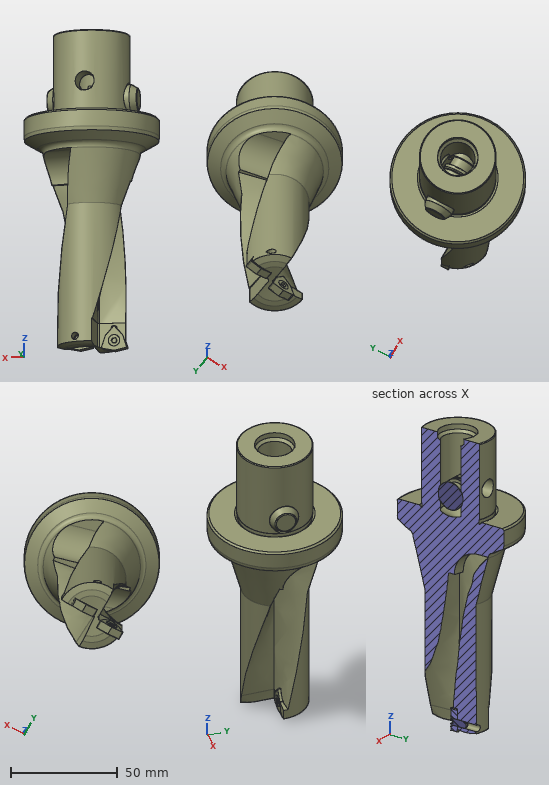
import cadquery as cq
import math


shank_length = 39.7
shank_radius = 18.0
shank_chamfer = 0.5
flange_radius = 31.8
flange_chamfer = 0.9
flange_rim_bottom = -8.7
flange_cone_top = (31.5, -10.5)
flange_cone_bottom = (25.3, -14.1)
neck_blend_middle = (23.4, -15.3)
groove_radius = 18.9
groove_depth = 1.2
undercut_radius = 17.7
undercut_height = 1.2

drill_diameter = 32.2
drill_radius = drill_diameter / 2
neck_radius = 22.8
neck_top = -17.1
neck_bottom = -42.2
tip_z = shank_length - 149.8
tip_profile = [(drill_radius, -108.0), (12.7, -108.9), (9.7, -109.0), (0, -108.2)]

bore_radius = 8.1
counterbore_radius = 9.5
counterbore_depth = 2.7
bore_floor = 0.0
bore_point = 4.5
key_hole_radius = 4.5
key_hole_z = 15.5

pin_z = 8.8
pin_radius = 7.0
pin_nose_radius = 5.2
pin_nose_chamfer = 0.6
cross_hole_chamfer = 0.7
pin_split_x = -1.2
pin_end_chamfer = 0.6
left_pin_end = -22.5
left_pin_shoulder = -19.2
right_pin_end = 20.5
right_pin_shoulder = 17.2
right_pin_neck = (0.9, 5.5)
right_pin_neck_radius = 5.4

flute_reach = 67.4
flute_top = -17.0
flute_levels = 9
front_flute_corner = (-1.3, 0)
front_flute_bottom = -103.0
seat_face_angle = 0
back_flute_bottom = -97.2
back_flute_corner_radius = 3.0
back_flute_corner_break = 0.7
back_corner_lead = 79
front_wall_start = 261
front_wall_twist = 1.135
front_face_start = 2.3
front_face_twist = 0.8011
back_wall_start = 88.5
back_wall_twist = 1.068
back_face_start = 169
back_face_twist = 0.8011
cone_extra_twist = 0.4005
runout_radius = 13.5
runout_wall_y = -3.6
runout_tilt = -14.0

insert_corner_radius = 7.0
insert_thickness = 3.9
insert_nose_radius = 0.5
seat_relief_radius = 1.3
insert_inner_radius = 4.8
insert_z = tip_z + insert_inner_radius
outer_insert_x = -10.6
inner_insert_x = 5.1
screw_head_radius = 2.7
screw_shank_radius = 1.6
screw_cone_depth = 1.8
screw_length = 9.0
screw_hole_length = drill_radius + 1.5
screw_tip_chamfer = 0.6
socket_width = 2.7
socket_depth = 1.2


def polar(radius, degrees):
    """Point at a radius and an angle from +X."""
    angle = math.radians(degrees)
    return (radius * math.cos(angle), radius * math.sin(angle))


def turn_about_pin_axis(points):
    """Turns an outline of (x, radius) points about the axis of the cross pins."""
    turned = cq.Workplane("XY").polyline(points).close().revolve(360, (0, 0), (1, 0))
    return turned.translate((0, 0, pin_z))


def make_blank():
    """Turned outline of the shank, flange and drill body."""
    profile = (
        cq.Workplane("XZ")
        .moveTo(0, shank_length)
        .lineTo(shank_radius - shank_chamfer, shank_length)
        .lineTo(shank_radius, shank_length - shank_chamfer)
        .lineTo(shank_radius, undercut_height)
        .lineTo(undercut_radius, undercut_height - (shank_radius - undercut_radius))
        .lineTo(undercut_radius, -groove_depth)
        .lineTo(groove_radius, 0)
        .lineTo(flange_radius - flange_chamfer, 0)
        .lineTo(flange_radius, -flange_chamfer)
        .lineTo(flange_radius, flange_rim_bottom)
        .lineTo(*flange_cone_top)
        .lineTo(*flange_cone_bottom)
        .threePointArc(neck_blend_middle, (neck_radius, neck_top))
        .lineTo(drill_radius, neck_bottom)
    )
    for point in tip_profile:
        profile = profile.lineTo(*point)
    return profile.close().revolve(360, (0, 0), (0, 1))


def make_bore():
    """Stepped blind bore with a conical floor."""
    step_top = shank_length - counterbore_depth
    step_bottom = step_top - (counterbore_radius - bore_radius)
    points = [
        (0, shank_length),
        (counterbore_radius, shank_length),
        (counterbore_radius, step_top),
        (bore_radius, step_bottom),
        (bore_radius, bore_floor),
        (0, bore_floor - bore_point),
    ]
    return cq.Workplane("XZ").polyline(points).close().revolve(360, (0, 0), (0, 1))


def make_cross_hole():
    """Hole along X through the shank, chamfered at both mouths."""
    chamfer_start = shank_radius - cross_hole_chamfer
    points = [
        (-shank_radius, 0),
        (-shank_radius, pin_radius + cross_hole_chamfer),
        (-chamfer_start, pin_radius),
        (chamfer_start, pin_radius),
        (shank_radius, pin_radius + cross_hole_chamfer),
        (shank_radius, 0),
    ]
    return turn_about_pin_axis(points)


def make_key_hole():
    """Radial hole from the +Y side into the bore."""
    return (
        cq.Workplane("XZ", origin=(0, 0, key_hole_z))
        .circle(key_hole_radius)
        .extrude(-2 * shank_radius)
    )


def front_wall_angle(z):
    return front_wall_start + front_wall_twist * (z - tip_z)


def front_face_angle(z):
    return front_face_start + front_face_twist * (z - tip_z)


def back_wall_angle(z):
    return back_wall_start + back_wall_twist * (z - tip_z)


def back_face_angle(z):
    """Twists faster where the drill body widens into its cone."""
    cone_twist = cone_extra_twist * max(0, z - neck_bottom)
    return back_face_start + back_face_twist * (z - tip_z) + cone_twist


def back_corner(z):
    return polar(back_flute_corner_radius, back_wall_angle(z) + back_corner_lead)


def front_corner(z):
    return front_flute_corner


def step_along(start, end, distance):
    """Point at a distance from start on the line through end."""
    share = distance / math.dist(start, end)
    return tuple(a + share * (b - a) for a, b in zip(start, end))


def flute_section(z, corner, corner_break, wall_angle, face_angle):
    """Wedge from the flute corner, which may be broken by a flat, past the drill surface."""
    wall_edge = polar(drill_radius, wall_angle)
    face_edge = polar(drill_radius, face_angle)
    outline = [step_along(corner, wall_edge, flute_reach), step_along(corner, face_edge, flute_reach)]
    if corner_break:
        outline.append(step_along(corner, face_edge, corner_break))
        outline.append(step_along(corner, wall_edge, corner_break))
    else:
        outline.append(corner)
    return cq.Wire.makePolygon([cq.Vector(x, y, z) for x, y in outline], close=True)


def twisted_flute(bottom, corner, corner_break, wall_angle, face_angle):
    step = (flute_top - bottom) / (flute_levels - 1)
    levels = [bottom + i * step for i in range(flute_levels)]
    sections = [
        flute_section(z, corner(z), corner_break, wall_angle(z), face_angle(z)) for z in levels
    ]
    return cq.Workplane(obj=cq.Solid.makeLoft(sections))


def make_runout_limit(turn):
    """Space a flute may fill: rounded off near its upper end."""
    arc_centre_y = runout_wall_y - runout_radius
    arc_centre_z = flute_top - runout_radius
    diagonal = runout_radius * math.sqrt(0.5)
    limit = (
        cq.Workplane("YZ")
        .moveTo(-2 * flute_reach, flute_top)
        .lineTo(arc_centre_y, flute_top)
        .threePointArc(
            (arc_centre_y + diagonal, arc_centre_z + diagonal),
            (runout_wall_y, arc_centre_z),
        )
        .lineTo(2 * flute_reach, arc_centre_z)
        .lineTo(2 * flute_reach, 2 * tip_z)
        .lineTo(-2 * flute_reach, 2 * tip_z)
        .close()
        .extrude(2 * flute_reach, both=True)
    )
    return limit.rotate((0, 0, 0), (0, 0, 1), runout_tilt + turn)


def make_front_flute():
    """Flute on the -Y side, with a flat seat face at y = 0 below it."""
    flute = twisted_flute(
        front_flute_bottom, front_corner, 0, front_wall_angle, front_face_angle
    )
    seat_sections = [
        flute_section(z, front_flute_corner, 0, front_wall_angle(z), seat_face_angle)
        for z in (tip_z, front_flute_bottom)
    ]
    seat = cq.Workplane(obj=cq.Solid.makeLoft(seat_sections, True))
    return [flute.intersect(make_runout_limit(180)), seat]


def make_back_flute():
    """Flute on the +Y side, with a straight two-walled pocket below it."""
    flute = twisted_flute(
        back_flute_bottom, back_corner, back_flute_corner_break, back_wall_angle, back_face_angle
    )
    seat = cq.Workplane("XY").box(
        flute_reach, flute_reach, back_flute_bottom - tip_z, centered=False
    )
    seat = seat.edges("|Z and >X and <Y").chamfer(back_flute_corner_break)
    seat = seat.translate((-flute_reach - back_flute_corner_radius, 0, tip_z))
    return [flute.intersect(make_runout_limit(0)), seat]


def place_at_seat(shape, x, faces_back):
    """Moves a shape from the origin to a seat and turns it to face +Y where asked."""
    if faces_back:
        shape = shape.rotate((0, 0, 0), (0, 0, 1), 180)
    return shape.translate((x, 0, insert_z))


def make_screw_space():
    """Countersunk head and shank, running from y = 0 toward +Y."""
    points = [
        (0, 0),
        (screw_head_radius, 0),
        (screw_shank_radius, screw_cone_depth),
        (screw_shank_radius, screw_hole_length),
        (0, screw_hole_length),
    ]
    return cq.Workplane("XY").polyline(points).close().revolve(360, (0, 0), (0, 1))


def make_insert_blank():
    """Trigon plate with one corner up and its cutting face at y = 0."""
    points = []
    for angle in (90, 210, 330):
        points.append(polar(insert_corner_radius, angle))
        points.append(polar(insert_inner_radius, angle + 60))
    plate = cq.Workplane("XZ").polyline(points).close().extrude(-insert_thickness)
    for x, z in points[::2]:
        nose = cq.selectors.NearestToPointSelector((x, insert_thickness / 2, z))
        plate = plate.edges(nose).fillet(insert_nose_radius)
    return plate


def make_seat_relief():
    """Round clearance at the upper corner of an insert seat."""
    relief = cq.Workplane("XZ").circle(seat_relief_radius).extrude(-insert_thickness)
    return relief.translate((0, 0, insert_corner_radius - seat_relief_radius))


def make_screw():
    """Countersunk screw with a hexagon socket."""
    points = [
        (0, 0),
        (screw_head_radius, 0),
        (screw_shank_radius, screw_cone_depth),
        (screw_shank_radius, screw_length - screw_tip_chamfer),
        (screw_shank_radius - screw_tip_chamfer, screw_length),
        (0, screw_length),
    ]
    screw = cq.Workplane("XY").polyline(points).close().revolve(360, (0, 0), (0, 1))
    socket = cq.Workplane("XZ").polygon(6, socket_width).extrude(-socket_depth)
    return screw.cut(socket)


def make_left_pin():
    return turn_about_pin_axis([
        (left_pin_end, 0),
        (left_pin_end, pin_nose_radius - pin_nose_chamfer),
        (left_pin_end + pin_nose_chamfer / 2, pin_nose_radius),
        (left_pin_shoulder, pin_radius),
        (pin_split_x - pin_end_chamfer, pin_radius),
        (pin_split_x, pin_radius - pin_end_chamfer),
        (pin_split_x, 0),
    ])


def make_right_pin():
    neck_start, neck_end = right_pin_neck
    return turn_about_pin_axis([
        (pin_split_x, 0),
        (pin_split_x, pin_radius - pin_end_chamfer),
        (pin_split_x + pin_end_chamfer, pin_radius),
        (neck_start, pin_radius),
        (neck_start, right_pin_neck_radius),
        (neck_end, right_pin_neck_radius),
        (neck_end, pin_radius),
        (right_pin_shoulder, pin_radius),
        (right_pin_end - pin_nose_chamfer / 2, pin_nose_radius),
        (right_pin_end, pin_nose_radius - pin_nose_chamfer),
        (right_pin_end, 0),
    ])


seats = [(inner_insert_x, False), (outer_insert_x, True)]

body = make_blank().cut(make_bore()).cut(make_cross_hole()).cut(make_key_hole())
for flute_part in make_front_flute() + make_back_flute():
    body = body.cut(flute_part)
for x, faces_back in seats:
    body = body.cut(place_at_seat(make_insert_blank(), x, faces_back))
    body = body.cut(place_at_seat(make_seat_relief(), x, faces_back))
    body = body.cut(place_at_seat(make_screw_space(), x, faces_back))

inserts = []
screws = []
for x, faces_back in seats:
    insert = make_insert_blank().cut(make_screw_space())
    inserts.append(place_at_seat(insert, x, faces_back))
    screws.append(place_at_seat(make_screw(), x, faces_back))

left_pin = make_left_pin()
right_pin = make_right_pin()

result = cq.Compound.makeCompound([
    *body.vals(),
    left_pin.val(),
    right_pin.val(),
    *[insert.val() for insert in inserts],
    *[screw.val() for screw in screws],
])